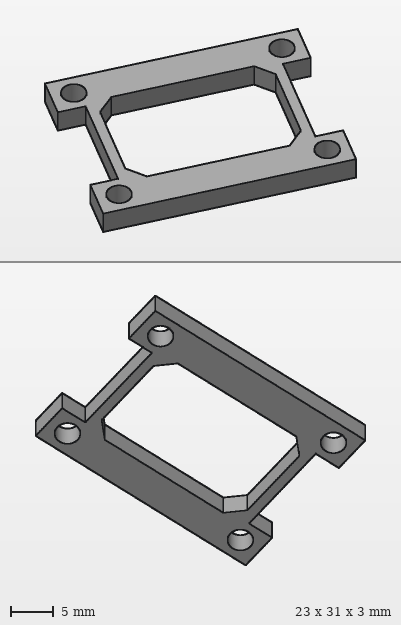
import cadquery as cq

width = 23.0
length = 31.0
thickness = 3.0

notch_width = 12.8
notch_depth = 3.4

window_width = 14.0
window_length = 21.5
window_chamfer = 2.0

hole_diameter = 3.0
hole_spacing_x = 17.9
hole_spacing_y = 25.5


def make_plate():
    return cq.Workplane("XY").box(width, length, thickness)


def make_end_notches():
    return (
        cq.Workplane("XY")
        .pushPoints([(0, -length / 2), (0, length / 2)])
        .box(notch_width, 2 * notch_depth, thickness)
    )


def make_window():
    return (
        cq.Workplane("XY")
        .box(window_width, window_length, thickness)
        .edges("|Z")
        .chamfer(window_chamfer)
    )


def drill_ears(body):
    return (
        body.faces(">Z")
        .workplane(origin=(0, 0, 0))
        .rect(hole_spacing_x, hole_spacing_y, forConstruction=True)
        .vertices()
        .hole(hole_diameter)
    )


frame = make_plate().cut(make_end_notches()).cut(make_window())
result = drill_ears(frame)